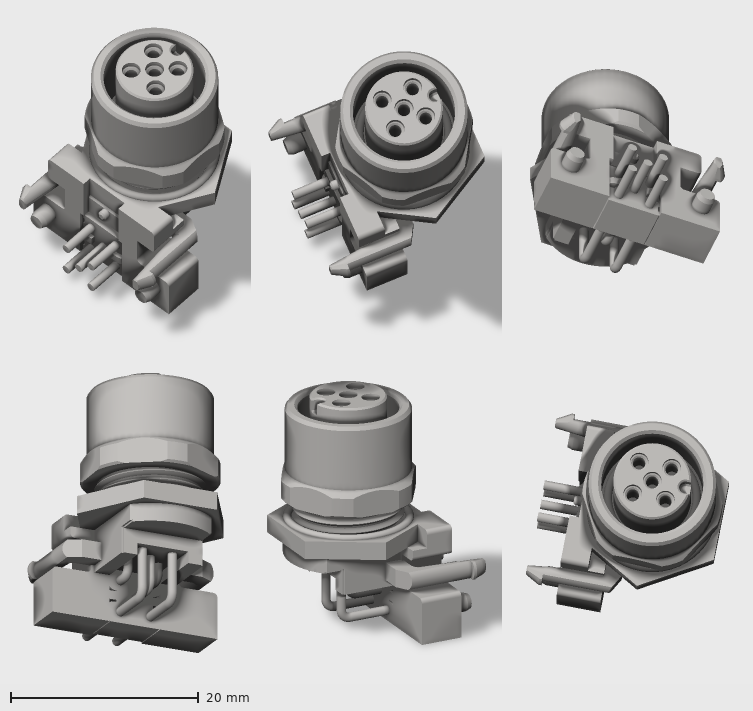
import cadquery as cq
import math

QUARTER_ARC_SAG = 1 - math.sin(math.pi / 4)


total_height = 26.0
solid_overlap = 1.0
plate_bottom = 10.05
plate_top = 12.05
nut_bottom = 14.7
nut_top = 17.7
shell_top = 24.9

plate_across_flats = 15.0
panel_seal_radius = 6.55
panel_seal_section = 0.46
thread_crest = 6.0
thread_root = 5.5
thread_pitch = 1.0
thread_base_width = 0.94
thread_crest_width = 0.06
thread_runout = 0.6
thread_start = plate_top - 1.02
thread_length = nut_bottom + thread_runout - thread_start
thread_overlap = 0.1

nut_across_flats = 14.0
nut_radius = 7.5
nut_turn = 27.7
nut_bottom_chamfer = 0.25
shell_radius = 6.8
shell_edge_width = 0.3
shell_edge_height = 0.4
bore_radius = 5.45
bore_chamfer = 0.33
bore_floor = 17.0
inner_seal_radius = 4.75
inner_seal_section = 0.45

carrier_radius = 4.15
carrier_chamfer = 0.2
socket_radius = 0.66
socket_lead_radius = 0.85
socket_lead_depth = 0.2
socket_mouth_radius = 1.0
socket_mouth_depth = 0.6
socket_depth = 5.0
key_radius = 0.65
key_floor_radius = 0.45
key_center = 3.58
key_depth = 1.5
key_chamfer = 0.18
key_flare = 45

contact_pitch = 1.77
contact_radius = 0.5
contact_bend = 1.0
contact_tip = -12.1
contact_center_height = 3.0
corner_contacts = [(sx * contact_pitch, sy * contact_pitch) for sx in (-1, 1) for sy in (-1, 1)]
contacts = [(0, 0)] + corner_contacts

housing_radius = 7.0
housing_half_width = 4.8
housing_step_height = 8.03
housing_bottom = 5.24
housing_rear = 3.13
housing_edge = 0.2
opening_half_width = 3.0
opening_top = 6.55

block_front = -8.5
block_rear = -3.77
block_upper_rear = -5.5
head_half_width = 7.63
head_bottom = 8.8
stem_half_width = 5.17
foot_half_width = 9.75
foot_top = 5.2
block_round = 0.5
recess_half_width = 2.5
recess_floor = -plate_across_flats / 2
recess_pad = -7.7
recess_slope_top = 9.24
recess_slope_bottom = 9.0

peg_offset = 7.5
peg_height = 3.03
peg_radius = 1.03
peg_length = 2.0
peg_chamfer = (0.55, 0.2)
stud_height = 8.48
stud_radius = 0.53
stud_chamfer = 0.2

spacer_front = -8.03
spacer_top = 5.97
spacer_corner = 0.12
notch_depth = 0.22
notch_height = 0.8
notch_rear = -7.0
notch_bottoms = (0.72, 4.54)
gap_inner = 2.15
gap_bottom = 2.3
gap_top = 3.6
gap_mouth_bottom = 2.05
gap_mouth_top = 4.0
gap_round_start = 2.65
gap_bulge = 0.07
hook_inner = 1.37
hook_flat_end = 2.25
hook_bottom = 2.55
hook_top = 3.53
hook_back_set = 0.45
hook_middle_set = 0.15

arm_height = 7.05
arm_half_height = 1.0
arm_rear = -1.97
arm_web_front = -4.0
arm_round_root = -3.0
arm_slope_x = -7.1
arm_outer = -8.93
arm_slope_end = -3.02
arm_crown = 0.43
arm_flare = 0.45
arm_inner_at_web = -7.75
arm_taper = math.tan(math.radians(6.3))
barb_outer = -9.47
barb_rear = -10.23
barb_slope_start = -10.55
arm_tip = -12.07
arm_tip_chamfer = 0.15
arm_tip_outer = -8.55
arm_tip_half_height = 0.85
arm_low = arm_height - arm_half_height
arm_high = arm_height + arm_half_height
arm_root = -housing_half_width + housing_edge
arm_crown_base = arm_outer + arm_crown


def cylinder(radius, bottom, top):
    return cq.Workplane("XY").workplane(offset=bottom).circle(radius).extrude(top - bottom)


def box(x_range, y_range, z_range):
    size = [high - low for low, high in (x_range, y_range, z_range)]
    corner = (x_range[0], y_range[0], z_range[0])
    return cq.Workplane("XY").box(*size, centered=False).translate(corner)


def front_prism(sketch, y_rear, y_front):
    """Extrude a sketch made on front_plane(y_rear) forward to y_front."""
    return sketch.extrude(y_rear - y_front)


def front_plane(y):
    """XZ workplane at the given y, with its normal toward -Y."""
    return cq.Workplane("XZ", origin=(0, y, 0))


def both_sides(shape):
    return shape.union(shape.mirror("YZ"))


def torus(ring_radius, section_radius, height):
    profile = cq.Workplane("XZ").center(ring_radius, height).circle(section_radius)
    return profile.revolve(360, (-ring_radius, 0, 0), (-ring_radius, 1, 0))


def revolve_profile(points):
    return cq.Workplane("XZ").polyline(points).close().revolve(360, (0, 0, 0), (0, 1, 0))


def hexagon(across_flats, bottom, top):
    across_corners = across_flats / math.cos(math.pi / 6)
    return cq.Workplane("XY").workplane(offset=bottom).polygon(6, across_corners).extrude(top - bottom)


def make_thread():
    helix = cq.Wire.makeHelix(thread_pitch, thread_length, thread_root)
    inner = thread_root - thread_overlap
    half_base = thread_base_width / 2
    half_crest = thread_crest_width / 2
    tooth = cq.Workplane("XZ").polyline(
        [(inner, -half_base), (thread_crest, -half_crest), (thread_crest, half_crest), (inner, half_base)]
    ).close()
    ridge = tooth.sweep(helix, isFrenet=True).translate((0, 0, thread_start))
    return cylinder(thread_root, plate_bottom, nut_bottom + solid_overlap).union(ridge)


def make_coupling():
    drop = nut_radius - shell_radius
    nut_envelope = revolve_profile([
        (0, nut_bottom), (nut_radius - nut_bottom_chamfer, nut_bottom),
        (nut_radius, nut_bottom + nut_bottom_chamfer), (nut_radius, nut_top - drop),
        (shell_radius, nut_top), (0, nut_top),
    ])
    nut = hexagon(nut_across_flats, nut_bottom, nut_top)
    nut = nut.rotate((0, 0, 0), (0, 0, 1), nut_turn).intersect(nut_envelope)
    shell = revolve_profile([
        (0, nut_top - solid_overlap), (bore_radius, nut_top - solid_overlap), (shell_radius, nut_top),
        (shell_radius, shell_top - shell_edge_height),
        (shell_radius - shell_edge_width, shell_top), (0, shell_top),
    ])
    bore = revolve_profile([
        (0, bore_floor), (bore_radius, bore_floor), (bore_radius, shell_top - bore_chamfer),
        (bore_radius + bore_chamfer, shell_top), (0, shell_top),
    ])
    seal = torus(inner_seal_radius, inner_seal_section, bore_floor)
    return nut.union(shell).cut(bore).union(seal)


def make_key_slot(radius, bottom, height, flare):
    """Slot open toward +Y whose walls lean outward by the flare angle going up."""
    open_end = carrier_radius + carrier_chamfer
    middle = (key_center + open_end) / 2
    slot = cq.Workplane("XY", origin=(0, middle, bottom))
    return slot.slot2D(open_end - key_center + 2 * radius, 2 * radius, 90).extrude(height, taper=-flare)


def make_carrier():
    carrier = cylinder(carrier_radius, bore_floor - solid_overlap, total_height)
    carrier = carrier.faces(">Z").edges().chamfer(carrier_chamfer)
    mouth_floor = total_height - socket_mouth_depth
    socket = revolve_profile([
        (0, total_height - socket_depth), (socket_radius, total_height - socket_depth),
        (socket_radius, mouth_floor - socket_lead_depth), (socket_lead_radius, mouth_floor),
        (socket_mouth_radius, mouth_floor), (socket_mouth_radius, total_height), (0, total_height),
    ])
    for x, y in contacts:
        carrier = carrier.cut(socket.translate((x, y, 0)))
    floor_flare = key_radius - key_floor_radius
    floor = total_height - key_depth
    carrier = carrier.cut(make_key_slot(key_floor_radius, floor, floor_flare, key_flare))
    carrier = carrier.cut(make_key_slot(key_radius, floor + floor_flare, key_depth, 0))
    carrier = carrier.cut(make_key_slot(key_radius, total_height - key_chamfer, key_chamfer, key_flare))
    return carrier


def make_housing():
    def layer(half_width, inset):
        across = (-half_width, half_width)
        upper = cylinder(housing_radius, housing_step_height + inset, plate_bottom)
        upper = upper.intersect(box(across, (0, housing_radius), (0, plate_top)))
        lower = box(across, (block_rear, housing_rear - inset), (housing_bottom, plate_bottom))
        return upper.union(lower)

    housing = layer(housing_half_width, housing_edge)
    housing = housing.union(layer(housing_half_width - housing_edge, 0))
    opening = box((-opening_half_width, opening_half_width), (block_rear, housing_radius),
                  (housing_bottom, opening_top))
    return housing.cut(opening)


def make_block():
    reach = block_round / 4
    half = [
        (0, 0), (foot_half_width, 0), (foot_half_width, foot_top), (stem_half_width, foot_top),
        (stem_half_width, head_bottom), (head_half_width, head_bottom), (head_half_width, plate_top),
        (0, plate_top),
    ]
    half_block = front_prism(front_plane(block_rear).polyline(half).close(), block_rear, block_front)
    rounded = [
        (foot_half_width, foot_top), (stem_half_width, foot_top),
        (head_half_width, head_bottom), (head_half_width, plate_top),
    ]
    for x, z in rounded:
        low_corner = (x - reach, block_front, z - reach)
        high_corner = (x + reach, block_rear, z + reach)
        near = cq.selectors.BoxSelector(low_corner, high_corner)
        half_block = half_block.edges("|Y").edges(near).fillet(block_round)
    block = both_sides(half_block)

    head_step = box((-foot_half_width, foot_half_width), (block_upper_rear, block_rear),
                    (plate_bottom, plate_top))
    opening = box((-opening_half_width, opening_half_width), (block_front, block_rear), (0, opening_top))
    recess = (
        cq.Workplane("YZ", origin=(-recess_half_width, 0, 0))
        .polyline([(block_front, opening_top), (recess_pad, opening_top),
                   (recess_pad, recess_slope_bottom), (recess_floor, recess_slope_top),
                   (recess_floor, plate_top), (block_front, plate_top)])
        .close().extrude(2 * recess_half_width)
    )
    return block.cut(head_step).cut(opening).cut(recess)


def make_pegs():
    peg = front_plane(block_front).center(peg_offset, peg_height).circle(peg_radius).extrude(peg_length)
    peg = peg.faces("<Y").edges().chamfer(*peg_chamfer)
    stud = front_plane(recess_floor).center(0, stud_height).circle(stud_radius)
    stud = front_prism(stud, recess_floor, block_front).faces("<Y").edges().chamfer(stud_chamfer)
    return both_sides(peg).union(stud)


def make_contact(x, y):
    row_height = contact_center_height - y
    bend_z = row_height + contact_bend
    middle = contact_bend * QUARTER_ARC_SAG
    path = (
        cq.Workplane("YZ", origin=(x, 0, 0))
        .moveTo(y, plate_bottom).lineTo(y, bend_z)
        .threePointArc((y - middle, row_height + middle), (y - contact_bend, row_height))
        .lineTo(contact_tip, row_height)
    )
    start = cq.Workplane("XY", origin=(x, y, plate_bottom))
    return start.circle(contact_radius).sweep(path)


def make_spacer():
    across = (-opening_half_width, opening_half_width)
    spacer = box(across, (spacer_front, block_rear), (0, spacer_top)).edges("|Y").chamfer(spacer_corner)
    w = opening_half_width
    lower_mid_x = w - (w - gap_round_start) * QUARTER_ARC_SAG
    lower_mid_z = gap_bottom - (gap_bottom - gap_mouth_bottom) * QUARTER_ARC_SAG
    upper_mid_x = (w + hook_flat_end) / 2 + gap_bulge
    upper_mid_z = (gap_mouth_top + gap_top) / 2 - gap_bulge
    gap = (
        front_plane(block_rear).moveTo(gap_inner, gap_bottom).lineTo(gap_round_start, gap_bottom)
        .threePointArc((lower_mid_x, lower_mid_z), (w, gap_mouth_bottom))
        .lineTo(w, gap_mouth_top)
        .threePointArc((upper_mid_x, upper_mid_z), (hook_flat_end, gap_top))
        .lineTo(gap_inner, gap_top).close()
    )
    side_cuts = front_prism(gap, block_rear, spacer_front)
    for bottom in notch_bottoms:
        side_cuts = side_cuts.union(
            box((w - notch_depth, w), (spacer_front, notch_rear), (bottom, bottom + notch_height)))
    hook_middle = hook_flat_end + 2 * (w - hook_flat_end) / 3
    hook = (
        cq.Workplane("XY").workplane(offset=hook_bottom)
        .moveTo(hook_inner, block_rear).lineTo(hook_inner, block_front).lineTo(hook_flat_end, block_front)
        .threePointArc((hook_middle, block_front + hook_middle_set), (w, block_front + hook_back_set))
        .lineTo(w, block_rear).close().extrude(hook_top - hook_bottom)
    )
    return spacer.cut(both_sides(side_cuts)).union(both_sides(hook))


def arm_prism(points, half_height):
    """Plan outline of the arm, extruded evenly above and below its middle height."""
    middle = cq.Workplane("XY").workplane(offset=arm_height)
    return middle.polyline(points).close().extrude(half_height, both=True)


def arm_axis_x(y):
    """X of the inner round's axis, which leans outward toward the tip."""
    return arm_inner_at_web + (y - arm_web_front) * arm_taper


def crowned_bar(outer, y_front, y_rear):
    """Bar along Y whose section is a shallow arc bulging outward, closed by its chord."""
    base = outer + arm_crown
    section = front_plane(y_rear).moveTo(base, arm_low)
    section = section.threePointArc((outer, arm_height), (base, arm_high)).close()
    return front_prism(section, y_rear, y_front)


def make_arm_web():
    meet_y = arm_web_front + (arm_crown_base - arm_inner_at_web) / arm_taper
    return arm_prism([
        (arm_root, arm_rear), (arm_crown_base, arm_rear), (arm_crown_base, meet_y),
        (arm_inner_at_web, arm_web_front), (arm_root, arm_web_front),
    ], arm_half_height)


def make_arm_round():
    """Half cylinder along the inner side of the arm."""
    radius = arm_half_height
    origin = (arm_axis_x(arm_round_root), arm_round_root, arm_height)
    half_disc = cq.Workplane(cq.Plane(origin, (0, 0, 1), (-arm_taper, -1, 0)))
    half_disc = half_disc.moveTo(-radius, 0).threePointArc((0, -radius), (radius, 0)).close()
    return half_disc.extrude(arm_round_root - arm_tip + radius)


def make_arm_flare():
    """Concave ring that blends the inner round into the web."""
    radius = arm_half_height
    arc_middle = (radius + arm_flare * QUARTER_ARC_SAG, -arm_flare * QUARTER_ARC_SAG)
    section = (
        cq.Workplane("XY", origin=(arm_inner_at_web, arm_web_front, arm_height))
        .moveTo(radius - arm_flare, arm_flare).lineTo(radius + arm_flare, arm_flare)
        .lineTo(radius + arm_flare, 0).threePointArc(arc_middle, (radius, -arm_flare))
        .lineTo(radius - arm_flare, -arm_flare).close()
    )
    zone = box((arm_inner_at_web, arm_root), (arm_web_front - radius, arm_rear), (arm_low, arm_high))
    return section.revolve(360, (0, 0, 0), (0, 1, 0)).intersect(zone)


def make_tip_taper():
    """Material to remove above and below the barb, which narrows toward the tip."""
    tip_edge = arm_height + arm_tip_half_height
    beyond_tip = arm_tip - arm_half_height
    above = arm_high + arm_half_height
    corner = (
        cq.Workplane("YZ", origin=(barb_outer, 0, 0))
        .polyline([
            (barb_slope_start, arm_high), (arm_tip + arm_tip_chamfer, tip_edge),
            (arm_tip, tip_edge - arm_tip_chamfer), (beyond_tip, tip_edge - arm_tip_chamfer),
            (beyond_tip, above), (barb_slope_start, above),
        ])
        .close().extrude(-2 * barb_outer)
    )
    return corner.union(corner.mirror("XY", (0, 0, arm_height)))


def make_tip_crown_cut():
    """Material to remove so that the barb's sloped face is crowned like its straight part."""
    margin = arm_half_height
    slope_x = arm_tip_outer - arm_tip_chamfer - barb_outer
    slope_y = arm_tip + arm_tip_chamfer - barb_slope_start
    slope = cq.Vector(slope_x, slope_y, 0).normalized()
    inward = cq.Vector(-slope.y, slope.x, 0)
    crown_radius = (arm_half_height ** 2 + arm_crown ** 2) / (2 * arm_crown)
    slope_start = cq.Vector(barb_outer, barb_slope_start, arm_height)
    axis_start = slope_start + inward * crown_radius - slope * (2 * margin)
    crown = cq.Solid.makeCylinder(crown_radius, 6 * margin, axis_start, slope)
    zone = box((barb_outer - margin, -housing_half_width), (arm_tip - margin, barb_slope_start),
               (arm_low - margin, arm_high + margin))
    return zone.cut(cq.Workplane(crown))


def make_arm_outline():
    tip_inner = arm_axis_x(arm_tip) + arm_half_height
    return arm_prism([
        (arm_root, arm_rear), (arm_slope_x, arm_rear), (arm_outer, arm_slope_end),
        (arm_outer, barb_rear), (barb_outer, barb_rear), (barb_outer, barb_slope_start),
        (arm_tip_outer - arm_tip_chamfer, arm_tip + arm_tip_chamfer), (arm_tip_outer, arm_tip),
        (tip_inner - arm_tip_chamfer, arm_tip), (tip_inner, arm_tip + arm_tip_chamfer),
        (arm_inner_at_web + arm_half_height, arm_web_front), (arm_root, arm_web_front),
    ], 2 * arm_half_height)


def make_arms():
    barb_core = box((barb_outer + arm_crown, arm_crown_base), (arm_tip, barb_rear), (arm_low, arm_high))
    arm = make_arm_web().union(make_arm_round())
    arm = arm.union(crowned_bar(arm_outer, arm_tip, arm_rear))
    arm = arm.union(crowned_bar(barb_outer, arm_tip, barb_rear)).union(barb_core)
    arm = arm.intersect(make_arm_outline())
    arm = arm.cut(make_tip_taper().union(make_tip_crown_cut())).union(make_arm_flare())
    return both_sides(arm)


plate = hexagon(plate_across_flats, plate_bottom, plate_top)
panel_seal = torus(panel_seal_radius, panel_seal_section, plate_top)

result = make_block().union(make_housing()).union(plate)
result = result.union(make_spacer()).union(make_pegs()).union(make_arms())
for contact_x, contact_y in contacts:
    result = result.union(make_contact(contact_x, contact_y))
result = result.union(panel_seal).union(make_thread()).union(make_coupling()).union(make_carrier())